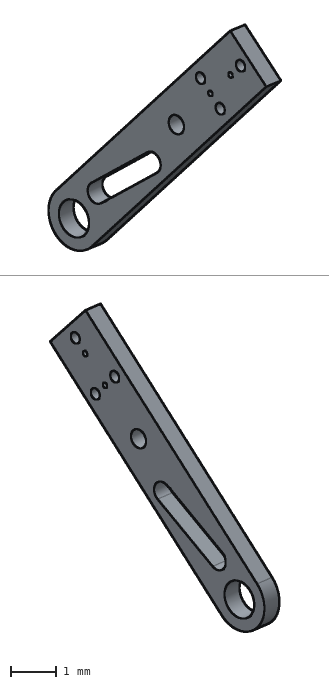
import cadquery as cq
import math

overall_size = 6.4
thickness = 0.5
arm_angle = 45.0

half_width = 0.75
arm_length = (overall_size - half_width) * math.sqrt(2) - half_width

pivot_hole_radius = 0.44
middle_hole_radius = 0.225
middle_hole_distance = 4.255
mount_hole_radius = 0.135
pair_distance = 5.67
pair_offset = 0.41
end_hole_distance = 6.925
pin_hole_radius = 0.065
end_pin_distance = 6.51

slot_length = 2.0
slot_radius = 0.25
slot_center = (2.0, -0.09)
slot_tilt = -10.0


def arm_body():
    """Plate with a round pivot end, its sides tangent to that end."""
    return (
        cq.Workplane("XY")
        .moveTo(0, -half_width)
        .lineTo(arm_length, -half_width)
        .lineTo(arm_length, half_width)
        .lineTo(0, half_width)
        .threePointArc((-half_width, 0), (0, -half_width))
        .close()
        .extrude(thickness)
    )


def round_holes(radius, centers):
    """Cutters for through holes of one size."""
    return cq.Workplane("XY").pushPoints(centers).circle(radius).extrude(thickness)


def slot():
    """Cutter for the slanted through slot."""
    full_length = slot_length + 2 * slot_radius
    return (
        cq.Workplane("XY")
        .center(*slot_center)
        .slot2D(full_length, 2 * slot_radius, slot_tilt)
        .extrude(thickness)
    )


hole_groups = [
    (pivot_hole_radius, [(0, 0)]),
    (middle_hole_radius, [(middle_hole_distance, 0)]),
    (
        mount_hole_radius,
        [(pair_distance, pair_offset), (pair_distance, -pair_offset), (end_hole_distance, 0)],
    ),
    (pin_hole_radius, [(pair_distance, 0), (end_pin_distance, 0)]),
]

arm = arm_body().cut(slot())
for hole_radius, hole_centers in hole_groups:
    arm = arm.cut(round_holes(hole_radius, hole_centers))

result = arm.rotate((0, 0, 0), (0, 0, 1), arm_angle).rotate((0, 0, 0), (1, 0, 0), 90)